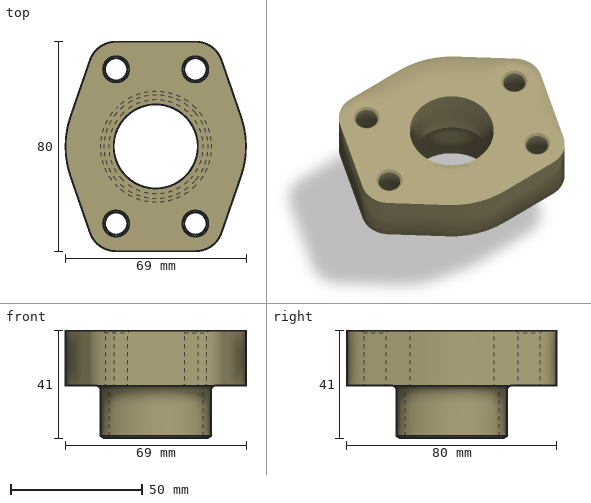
import cadquery as cq
import math

plate_length = 80.0
plate_width = 69.0
plate_thickness = 21.0

bolt_spacing_x = 30.2
bolt_spacing_y = 58.8
bolt_diameter = 8.4
bolt_chamfer = 0.8
bolt_chamfer_angle = 90.0

total_height = 41.0
neck_diameter = 42.3
neck_root_fillet = 1.6
neck_bevel_height = 0.9
neck_bevel_width = 1.4

bore_diameter = 32.0
socket_diameter = 35.9

neck_length = total_height - plate_thickness
socket_depth = neck_length
bolt_x = bolt_spacing_x / 2
bolt_y = bolt_spacing_y / 2
side_radius = plate_width / 2
corner_radius = plate_length / 2 - bolt_y

bolt_distance = math.hypot(bolt_x, bolt_y)
tangent_offset = math.acos((side_radius - corner_radius) / bolt_distance)
tangent_angle = math.atan2(bolt_y, bolt_x) - tangent_offset
corner_mid_angle = (tangent_angle + math.pi / 2) / 2


def arc_point(center_x, center_y, radius, angle):
    """Point on a circle at an angle from +X."""
    return (center_x + radius * math.cos(angle), center_y + radius * math.sin(angle))


def mirror_y(point):
    return (point[0], -point[1])


def make_plate():
    side_end = arc_point(0, 0, side_radius, tangent_angle)
    corner_start = arc_point(bolt_x, bolt_y, corner_radius, tangent_angle)
    corner_mid = arc_point(bolt_x, bolt_y, corner_radius, corner_mid_angle)
    corner_end = (bolt_x, plate_length / 2)
    right_half = (
        cq.Workplane("XY")
        .moveTo(0, -plate_length / 2)
        .lineTo(*mirror_y(corner_end))
        .threePointArc(mirror_y(corner_mid), mirror_y(corner_start))
        .lineTo(*mirror_y(side_end))
        .threePointArc((side_radius, 0), side_end)
        .lineTo(*corner_start)
        .threePointArc(corner_mid, corner_end)
        .lineTo(0, plate_length / 2)
    )
    return right_half.mirrorY().extrude(plate_thickness)


def add_neck(body):
    """Round neck below the plate, with a filleted root and a bevelled free end."""
    neck = cq.Workplane("XY").circle(neck_diameter / 2).extrude(-neck_length)
    neck = neck.faces("<Z").edges().chamfer(neck_bevel_height, neck_bevel_width)
    joined = body.union(neck)
    root_edge = cq.selectors.NearestToPointSelector((0, 0, 0))
    return joined.edges("%CIRCLE").edges(root_edge).fillet(neck_root_fillet)


def cut_bore(body):
    bore = cq.Workplane("XY").circle(bore_diameter / 2).extrude(plate_thickness)
    socket = cq.Workplane("XY").circle(socket_diameter / 2).extrude(-socket_depth)
    return body.cut(bore).cut(socket)


def cut_bolt_holes(body):
    return (
        body.faces(">Z").workplane(origin=(0, 0, plate_thickness))
        .rarray(bolt_spacing_x, bolt_spacing_y, 2, 2)
        .cskHole(bolt_diameter, bolt_diameter + 2 * bolt_chamfer, bolt_chamfer_angle)
    )


result = cut_bolt_holes(cut_bore(add_neck(make_plate())))